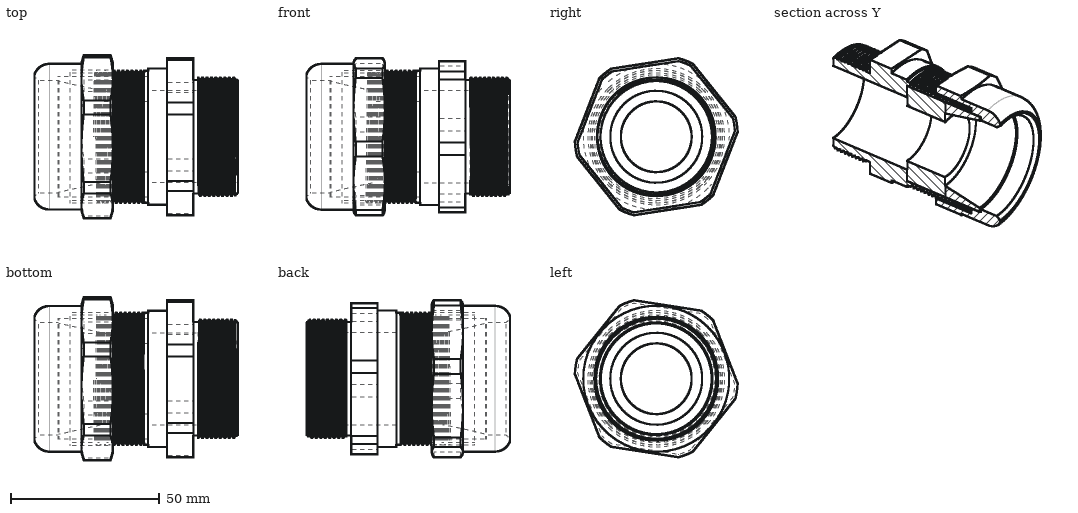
import cadquery as cq
import math


nut_round_end = 5.12
nut_hex_start = 15.83
nut_hex_end = 26.54
body_thread_end = 37.0
collar_start = 38.36
body_hex_start = 44.65
body_hex_end = 53.6
spigot_thread_start = 55.2
body_end = 68.7

nut_diameter = 49.2
nut_rim_diameter = 41.8
mouth_diameter = 40.48
nut_bore_diameter = 37.95
mouth_chamfer_length = 1.4
nut_hex_flats = 50.0
nut_hex_corners = 55.03
nut_hex_chamfer_length = 0.85
nut_hex_shoulder_diameter = 49.39
nut_thread_clearance = 0.1

body_root_diameter = 43.03
body_crest_diameter = 44.6
collar_diameter = 46.02
body_hex_flats = 48.0
body_hex_corners = 53.12
spigot_root_diameter = 38.33
spigot_crest_diameter = 39.95
spigot_end_diameter = 37.5
through_bore_diameter = 31.0
hex_tilt = 8.8

pitch = 1.5
crest_width = pitch / 8
flank_angle = 30.0
root_overlap = 0.15
envelope_margin = 0.15
body_thread_start = 20.5
spigot_ridge_start = 53.3

nut_step = 8.0
insert_start = 8.4
insert_end = 22.7
insert_diameter = 40.51
insert_mouth_diameter = 37.3
seal_bore_diameter = 23.78
body_start = 12.0
seal_end = collar_start


def cylinder(diameter, start, end):
    """A solid cylinder on the X axis."""
    return cq.Workplane("YZ", origin=(start, 0, 0)).circle(diameter / 2).extrude(end - start)


def turned(points):
    """A solid turned about the X axis from (x, radius) points."""
    return cq.Workplane("XY").polyline(points).close().revolve(360, (0, 0, 0), (1, 0, 0))


def hexagon(flats, corners, start, end):
    """A tilted hexagonal prism whose corners are rounded to a common circle."""
    sharp_corners = flats / math.cos(math.pi / 6)
    prism = cq.Workplane("YZ", origin=(start, 0, 0)).polygon(6, sharp_corners).extrude(end - start)
    prism = prism.rotate((0, 0, 0), (1, 0, 0), hex_tilt)
    return prism.intersect(cylinder(corners, start, end))


def thread_ridge(root_diameter, crest_diameter, start, end):
    """A right-hand helical ridge around X, starting on the -Z side."""
    crest = crest_diameter / 2
    inner = root_diameter / 2 - root_overlap
    crest_half = crest_width / 2
    inner_half = crest_half + (crest - inner) * math.tan(math.radians(flank_angle))
    helix = cq.Wire.makeHelix(pitch, end - start, inner)
    profile = cq.Workplane("XZ").polyline(
        [(inner, -inner_half), (crest, -crest_half), (crest, crest_half), (inner, inner_half)]
    ).close()
    ridge = profile.sweep(cq.Workplane(obj=helix), isFrenet=True)
    return ridge.rotate((0, 0, 0), (0, 1, 0), 90).translate((start, 0, 0))


def make_cap_nut():
    rim_radius = nut_rim_diameter / 2
    radius = nut_diameter / 2
    drop = radius - rim_radius
    round_radius = (nut_round_end**2 + drop**2) / (2 * drop)
    half_angle = math.asin(nut_round_end / round_radius) / 2
    arc_middle = (
        nut_round_end - round_radius * math.sin(half_angle),
        radius - round_radius * (1 - math.cos(half_angle)),
    )
    shell = (
        cq.Workplane("XY")
        .moveTo(0, 0)
        .lineTo(0, rim_radius)
        .threePointArc(arc_middle, (nut_round_end, radius))
        .lineTo(nut_hex_start, radius)
        .lineTo(nut_hex_start, 0)
        .close()
        .revolve(360, (0, 0, 0), (1, 0, 0))
    )
    corner = nut_hex_corners / 2
    shoulder = nut_hex_shoulder_diameter / 2
    chamfer_envelope = turned([
        (nut_hex_start, 0),
        (nut_hex_start, shoulder),
        (nut_hex_start + nut_hex_chamfer_length, corner),
        (nut_hex_end - nut_hex_chamfer_length, corner),
        (nut_hex_end, shoulder),
        (nut_hex_end, 0),
    ])
    nut_hex = hexagon(nut_hex_flats, nut_hex_corners, nut_hex_start, nut_hex_end)
    nut = shell.union(nut_hex.intersect(chamfer_envelope))

    thread_bore = body_crest_diameter / 2 + nut_thread_clearance
    return nut.cut(turned([
        (0, 0),
        (0, mouth_diameter / 2),
        (mouth_chamfer_length, nut_bore_diameter / 2),
        (nut_step, nut_bore_diameter / 2),
        (nut_step, insert_diameter / 2),
        (body_start, insert_diameter / 2),
        (body_start, thread_bore),
        (nut_hex_end, thread_bore),
        (nut_hex_end, 0),
    ]))


def make_body():
    front_ridge = thread_ridge(
        body_root_diameter, body_crest_diameter, body_thread_start, body_thread_end + pitch
    ).intersect(cylinder(nut_diameter, body_start, body_thread_end))
    front = cylinder(body_root_diameter, body_start, collar_start).union(front_ridge)

    spigot_ridge = thread_ridge(
        spigot_root_diameter, spigot_crest_diameter, spigot_ridge_start, body_end + pitch
    )
    spigot = cylinder(spigot_root_diameter, body_hex_end, body_end).union(
        spigot_ridge.intersect(cylinder(nut_diameter, spigot_thread_start, body_end))
    )
    envelope_radius = spigot_crest_diameter / 2 + envelope_margin
    end_chamfer = envelope_radius - spigot_end_diameter / 2
    spigot = spigot.intersect(turned([
        (body_hex_end, 0),
        (body_hex_end, envelope_radius),
        (body_end - end_chamfer, envelope_radius),
        (body_end, spigot_end_diameter / 2),
        (body_end, 0),
    ]))

    body = (
        front.union(cylinder(body_crest_diameter, body_thread_end, collar_start))
        .union(cylinder(collar_diameter, collar_start, body_hex_start))
        .union(hexagon(body_hex_flats, body_hex_corners, body_hex_start, body_hex_end))
        .union(spigot)
    )
    body = body.cut(cylinder(insert_diameter, body_start, seal_end))
    return body.cut(cylinder(through_bore_diameter, seal_end, body_end))


def make_clamping_insert():
    return turned([
        (insert_start, insert_mouth_diameter / 2),
        (insert_start, insert_diameter / 2),
        (insert_end, insert_diameter / 2),
        (insert_end, through_bore_diameter / 2),
    ])


def make_seal():
    ring = cylinder(insert_diameter, insert_end, seal_end)
    return ring.cut(cylinder(seal_bore_diameter, insert_end, seal_end))


cap_nut = make_cap_nut()
body = make_body()
clamping_insert = make_clamping_insert()
seal = make_seal()

result = cq.Compound.makeCompound([cap_nut.val(), body.val(), clamping_insert.val(), seal.val()])